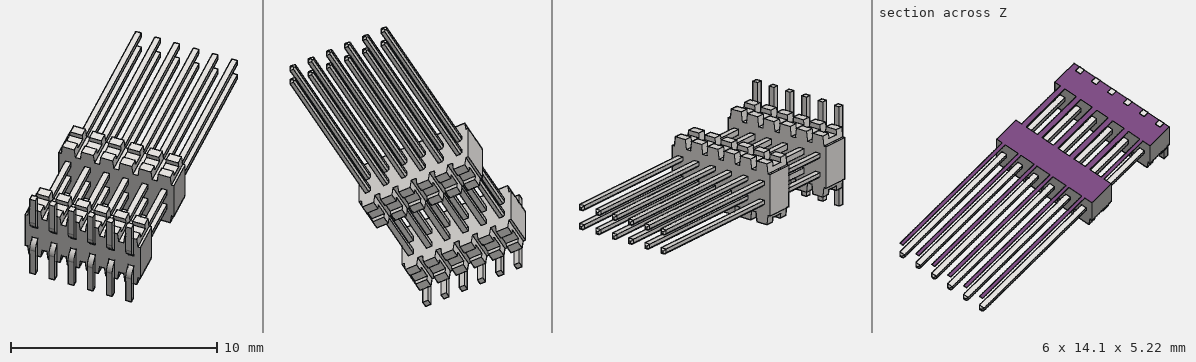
import cadquery as cq
import math

column_count = 6
pitch = 1.0
column_positions = [(i - (column_count - 1) / 2) * pitch for i in range(column_count)]

total_length = 14.1
pin_width = 0.3
row_height = pitch / 2
leg_reach = 2.61
bend_outer_radius = 0.62
bend_inner_radius = bend_outer_radius - pin_width
chamfer = 0.1
shank_bottom = row_height - pin_width / 2
shank_top = row_height + pin_width / 2

block_width = column_count * pitch
block_depth = 1.5
block_height = 2.19
front_block_start = pin_width
block_gap = 2.93
rear_block_start = front_block_start + block_depth + block_gap

lug_height = 0.51
lug_base_width = 0.75
lug_top_width = 0.62
groove_depth = 0.25
groove_width = 0.6


def make_lug(x, block_start):
    """Tapered lug standing on the block top, notched across its middle."""
    base_z = block_height / 2
    top_z = base_z + lug_height
    lug = (
        cq.Workplane("XZ", origin=(x, block_start, 0))
        .polyline([
            (-lug_base_width / 2, base_z),
            (lug_base_width / 2, base_z),
            (lug_top_width / 2, top_z),
            (-lug_top_width / 2, top_z),
        ])
        .close()
        .extrude(-block_depth)
    )
    groove = cq.Workplane("XY").box(lug_base_width, groove_width, 2 * groove_depth)
    return lug.cut(groove.translate((x, block_start + block_depth / 2, top_z)))


def make_block(block_start):
    """Insulator block with a row of lugs on its top and bottom faces."""
    block = cq.Workplane("XY").box(block_width, block_depth, block_height)
    block = block.translate((0, block_start + block_depth / 2, 0))
    for x in column_positions:
        lug = make_lug(x, block_start)
        block = block.union(lug).union(lug.mirror("XY"))
    return block


def make_bend_recess(x):
    """Square pocket in the front block where the upper-row pin starts to bend."""
    recess_depth = bend_outer_radius - front_block_start
    recess = cq.Workplane("XY").box(pin_width, recess_depth, pin_width)
    return recess.translate((x, front_block_start + recess_depth / 2, row_height))


def make_pin(x):
    """Upper-row pin: upright leg, quarter bend, long straight shank, tapered tip."""
    bend_y = bend_outer_radius
    bend_z = shank_bottom + bend_outer_radius
    cos_45 = math.cos(math.radians(45))
    outer_mid = (bend_y - bend_outer_radius * cos_45, bend_z - bend_outer_radius * cos_45)
    inner_mid = (bend_y - bend_inner_radius * cos_45, bend_z - bend_inner_radius * cos_45)
    pin = (
        cq.Workplane("YZ", origin=(x, 0, 0))
        .moveTo(0, leg_reach)
        .lineTo(0, bend_z)
        .threePointArc(outer_mid, (bend_y, shank_bottom))
        .lineTo(total_length, shank_bottom)
        .lineTo(total_length, shank_top)
        .lineTo(bend_y, shank_top)
        .threePointArc(inner_mid, (pin_width, bend_z))
        .lineTo(pin_width, leg_reach)
        .close()
        .extrude(pin_width / 2, both=True)
    )
    return pin.faces(">Y").chamfer(chamfer)


def make_edge_wedge(x, bottom_z, start_y):
    """Wedge that bevels the lower -X edge of a shank, from start_y to the tip."""
    return (
        cq.Workplane("XZ", origin=(x - pin_width / 2, start_y, bottom_z))
        .polyline([(0, 0), (chamfer, 0), (0, chamfer)])
        .close()
        .extrude(start_y - total_length)
    )


result = make_block(front_block_start).union(make_block(rear_block_start))
for column_x in column_positions:
    recess = make_bend_recess(column_x)
    result = result.cut(recess).cut(recess.mirror("XY"))

    is_outermost = column_x == column_positions[0]
    bevel_start = bend_outer_radius if is_outermost else rear_block_start + block_depth

    whole_pin = make_pin(column_x)
    upper_pin = whole_pin.cut(make_edge_wedge(column_x, shank_bottom, bevel_start))
    lower_pin = whole_pin.mirror("XY").cut(make_edge_wedge(column_x, -shank_top, bevel_start))
    result = result.union(upper_pin).union(lower_pin)